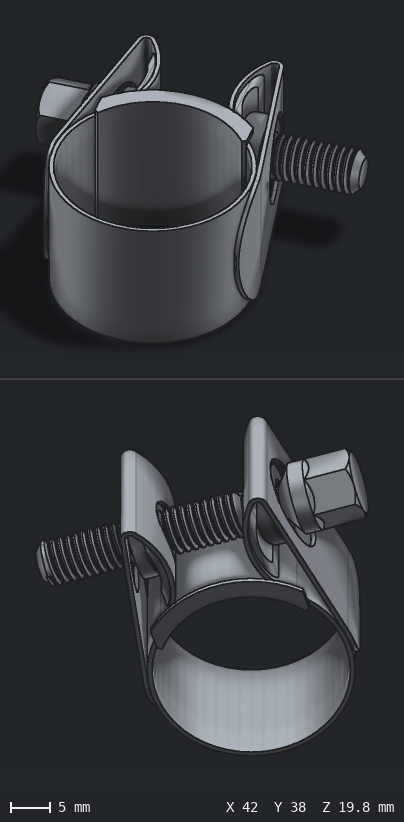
import cadquery as cq
import math

strip_thickness = 0.6
strip_width = 18.1
ring_outer_radius = 13.05
loop_tip_y = 24.95
bolt_y = 17.37

inner_wall_x = 5.0
tip_bend_radius = 0.94
tongue_gap = 0.05
tongue_round_y = 1.2
tongue_end_y = -4.75
leg_hole_width = 11.1
leg_hole_length = 12.0
leg_hole_y = 16.9
inner_hole_diameter = 8.0

bridge_width = 19.8
bridge_base_thickness = 0.6
bridge_rim_thickness = 0.7
bridge_rim_radius = 14.25
bridge_half_length = 10.03
bridge_base_half_angle = 53.2

trunnion_face_x = 9.7
trunnion_disc_diameter = 10.0
saddle_back_x = 7.33
saddle_height = 17.0
saddle_edge_radius = 1.0
saddle_gap = 0.12
relief_half_width = 3.24
relief_depth = 0.72

head_start_x = -19.73
hex_across_flats = 8.0
hex_end_chamfer = 0.5
collar_start_x = -13.75
collar_end_x = -11.68
collar_radius = 4.64
neck_start_x = -trunnion_face_x
neck_radius = 1.98
thread_start_x = -4.82
thread_end_x = 22.27
thread_radius = 3.0
thread_pitch = 1.0
thread_depth = 0.6
thread_root_width = 0.15
thread_flank_run = 0.3
groove_turns = 13
groove_count = 2
thread_end_chamfer = 1.0

half_thickness = strip_thickness / 2
ring_radius = ring_outer_radius - half_thickness
ring_inner_radius = ring_outer_radius - strip_thickness
tongue_radius = ring_radius + strip_thickness + tongue_gap

wall_x = inner_wall_x + half_thickness
wall_radius = (wall_x**2 + bolt_y**2 - ring_radius**2) / (2 * (ring_radius - wall_x))
wall_center = (-wall_x - wall_radius, bolt_y)
ring_end_angle = math.degrees(math.atan2(wall_center[1], wall_center[0]))

tip_y = loop_tip_y - half_thickness - tip_bend_radius
tip_x = wall_center[0] + math.sqrt((wall_radius - tip_bend_radius) ** 2 - (tip_y - bolt_y) ** 2)
wall_end_angle = math.degrees(math.atan2(tip_y - bolt_y, tip_x - wall_center[0]))

tip_distance = math.hypot(tip_x, tip_y)
leg_normal_angle = math.degrees(
    math.atan2(tip_y, tip_x) + math.acos((tongue_radius - tip_bend_radius) / tip_distance)
)
tongue_end_angle = 180 + math.degrees(math.asin(-tongue_end_y / tongue_radius))


def polar(center, radius, angle):
    """Point at an angle in degrees on a circle."""
    turn = math.radians(angle)
    return (center[0] + radius * math.cos(turn), center[1] + radius * math.sin(turn))


def strip(arcs):
    """Strip following centreline arcs (center, radius, start, end), joined by straight runs."""
    outline = None
    left_side = [(arc, half_thickness) for arc in arcs]
    right_side = [((c, r, end, start), half_thickness) for c, r, start, end in reversed(arcs)]
    for (center, radius, start, end), offset in left_side + right_side:
        side_radius = radius - offset if end > start else radius + offset
        first = polar(center, side_radius, start)
        middle = polar(center, side_radius, (start + end) / 2)
        last = polar(center, side_radius, end)
        if outline is None:
            outline = cq.Workplane("XY").moveTo(*first)
        elif math.dist(first, previous) > 1e-6:
            outline = outline.lineTo(*first)
        outline = outline.threePointArc(middle, last)
        previous = last
    return outline.close().extrude(strip_width / 2, both=True)


def tongue_trim():
    """Material to remove so that the free end of a left or right tongue becomes a half ellipse."""
    below_round = (
        cq.Workplane("XY")
        .center(0, tongue_round_y - ring_outer_radius)
        .rect(4 * ring_outer_radius, 2 * ring_outer_radius)
        .extrude(strip_width, both=True)
    )
    ring_space = (
        cq.Workplane("XY").circle(ring_outer_radius + tongue_gap / 2).extrude(strip_width, both=True)
    )
    round_end = (
        cq.Workplane("YZ")
        .center(tongue_round_y, 0)
        .ellipse(tongue_round_y - tongue_end_y, strip_width / 2)
        .extrude(2 * ring_outer_radius, both=True)
    )
    return below_round.cut(ring_space).cut(round_end)


def make_band():
    left_arcs = [
        (wall_center, wall_radius, ring_end_angle - 180, wall_end_angle),
        ((tip_x, tip_y), tip_bend_radius, wall_end_angle, leg_normal_angle),
        ((0, 0), tongue_radius, leg_normal_angle, tongue_end_angle),
    ]
    right_arcs = [
        ((-center[0], center[1]), radius, 180 - end, 180 - start)
        for center, radius, start, end in reversed(left_arcs)
    ]
    ring_arc = ((0, 0), ring_radius, 540 - ring_end_angle, ring_end_angle)
    band = strip([*right_arcs, ring_arc, *left_arcs]).cut(tongue_trim())
    inner_holes = (
        cq.Workplane("YZ", origin=(0, bolt_y, 0))
        .circle(inner_hole_diameter / 2)
        .extrude(-tip_x, both=True)
    )
    leg_hole = (
        cq.Workplane("YZ", origin=(tip_x, leg_hole_y, 0))
        .slot2D(leg_hole_length, leg_hole_width)
        .extrude(-ring_outer_radius)
    )
    return band.cut(inner_holes).cut(leg_hole).cut(leg_hole.mirror("YZ"))


def make_bridge():
    """U-shaped channel: a curved base under the loops with a rim along each edge of the strip."""
    base_inner_radius = ring_inner_radius - bridge_base_thickness
    start, end = 90 - bridge_base_half_angle, 90 + bridge_base_half_angle
    base = (
        cq.Workplane("XY")
        .moveTo(*polar((0, 0), base_inner_radius, start))
        .threePointArc((0, base_inner_radius), polar((0, 0), base_inner_radius, end))
        .lineTo(*polar((0, 0), ring_inner_radius, end))
        .threePointArc((0, ring_inner_radius), polar((0, 0), ring_inner_radius, start))
        .close()
        .extrude(bridge_width / 2, both=True)
    )
    rim_outer_y = math.sqrt(bridge_rim_radius**2 - bridge_half_length**2)
    rim_inner_y = math.sqrt(ring_inner_radius**2 - bridge_half_length**2)
    rim = (
        cq.Workplane("XY", origin=(0, 0, bridge_width / 2 - bridge_rim_thickness))
        .moveTo(-bridge_half_length, rim_inner_y)
        .lineTo(-bridge_half_length, rim_outer_y)
        .threePointArc((0, bridge_rim_radius), (bridge_half_length, rim_outer_y))
        .lineTo(bridge_half_length, rim_inner_y)
        .threePointArc((0, ring_inner_radius), (-bridge_half_length, rim_inner_y))
        .close()
        .extrude(bridge_rim_thickness)
    )
    return base.union(rim).union(rim.mirror("XY"))


def make_trunnion():
    """Left trunnion: a disc behind a saddle whose front follows the loop's inner wall."""
    front_radius = wall_radius - half_thickness - saddle_gap
    front_x = wall_center[0] + front_radius
    half_length = math.sqrt(front_radius**2 - (-saddle_back_x - wall_center[0]) ** 2)
    saddle = (
        cq.Workplane("XY")
        .moveTo(-saddle_back_x, bolt_y - half_length)
        .threePointArc((front_x, bolt_y), (-saddle_back_x, bolt_y + half_length))
        .close()
        .extrude(saddle_height / 2, both=True)
        .faces("<X")
        .edges("|Y")
        .fillet(saddle_edge_radius)
    )
    relief = (
        cq.Workplane("XY")
        .moveTo(-saddle_back_x, bolt_y - relief_half_width)
        .threePointArc(
            (-saddle_back_x + relief_depth, bolt_y), (-saddle_back_x, bolt_y + relief_half_width)
        )
        .close()
        .extrude(saddle_height / 2, both=True)
    )
    face = cq.Workplane("YZ", origin=(-trunnion_face_x, bolt_y, 0))
    disc_length = trunnion_face_x - saddle_back_x + relief_depth
    disc = face.circle(trunnion_disc_diameter / 2).extrude(disc_length)
    bore = face.circle(thread_radius).extrude(trunnion_face_x)
    front_limit = (
        cq.Workplane("XY").center(*wall_center).circle(front_radius).extrude(saddle_height / 2, both=True)
    )
    return saddle.cut(relief).union(disc.intersect(front_limit)).cut(bore)


def thread_groove():
    """One length of helical trapezoidal groove around the X axis, from the thread's start."""
    root_radius = thread_radius - thread_depth
    overshoot = 0.1
    mouth_half_width = thread_root_width / 2 + thread_flank_run * (thread_depth + overshoot) / thread_depth
    helix = cq.Wire.makeHelix(thread_pitch, groove_turns * thread_pitch, root_radius)
    profile = (
        cq.Workplane("XZ", origin=(root_radius, 0, 0))
        .moveTo(0, -thread_root_width / 2)
        .lineTo(thread_depth + overshoot, -mouth_half_width)
        .lineTo(thread_depth + overshoot, mouth_half_width)
        .lineTo(0, thread_root_width / 2)
        .close()
    )
    groove = profile.sweep(cq.Workplane(helix), isFrenet=True)
    return groove.rotate((0, 0, 0), (0, 1, 0), 90).translate((thread_start_x, 0, 0))


def make_bolt():
    flat_radius = hex_across_flats / 2
    corner_radius = flat_radius / math.cos(math.pi / 6)
    head_length = collar_start_x - head_start_x
    hexagon = (
        cq.Workplane("YZ", origin=(head_start_x, 0, 0))
        .polygon(6, 2 * corner_radius)
        .extrude(head_length)
        .rotate((0, 0, 0), (1, 0, 0), 90)
    )
    head_envelope = (
        cq.Workplane("XY")
        .moveTo(head_start_x, 0)
        .lineTo(head_start_x, flat_radius)
        .lineTo(head_start_x + hex_end_chamfer, corner_radius)
        .lineTo(collar_start_x, corner_radius)
        .lineTo(collar_start_x, 0)
        .close()
        .revolve(360, (0, 0, 0), (1, 0, 0))
    )
    collar_chamfer = collar_radius - flat_radius
    thread_lead = thread_radius - neck_radius
    body = (
        cq.Workplane("XY")
        .moveTo(collar_start_x - collar_chamfer, 0)
        .lineTo(collar_start_x - collar_chamfer, flat_radius)
        .lineTo(collar_start_x, collar_radius)
        .lineTo(collar_end_x, collar_radius)
        .lineTo(neck_start_x, neck_radius)
        .lineTo(thread_start_x, neck_radius)
        .lineTo(thread_start_x + thread_lead, thread_radius)
        .lineTo(thread_end_x - thread_end_chamfer, thread_radius)
        .lineTo(thread_end_x, thread_radius - thread_end_chamfer)
        .lineTo(thread_end_x, 0)
        .close()
        .revolve(360, (0, 0, 0), (1, 0, 0))
    )
    groove = thread_groove()
    for index in range(groove_count):
        body = body.cut(groove.translate((index * groove_turns * thread_pitch, 0, 0)), clean=False)
    return hexagon.intersect(head_envelope).union(body, clean=False).translate((0, bolt_y, 0))


band = make_band()
bridge = make_bridge()
trunnion = make_trunnion()
trunnions = [trunnion, trunnion.mirror("YZ")]
bolt = make_bolt()

result = cq.Compound.makeCompound(
    [band.val(), bridge.val(), bolt.val(), *[body.val() for body in trunnions]]
)